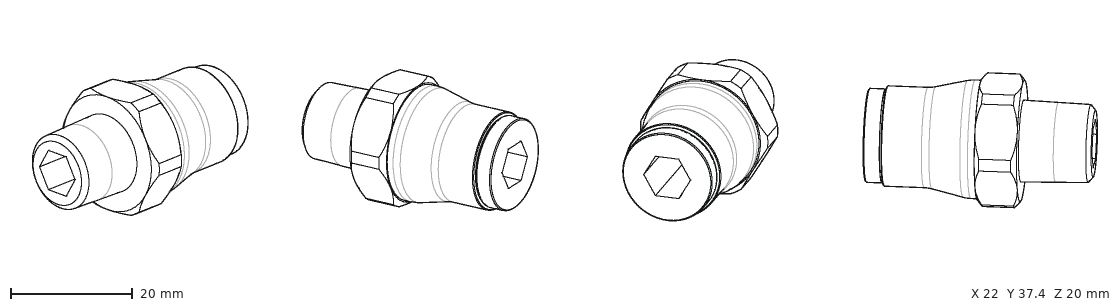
import cadquery as cq
import math

total_length = 37.4

tip_radius = 5.5
tip_chamfer_radius = 6.45
tip_chamfer_length = 0.8
gauge_line = 6.15
gauge_radius = 6.6
stub_root_radius = 6.75

nut_start = 11.85
nut_end = 18.85
nut_across_flats = 20.0
nut_across_corners = 22.0
nut_chamfer_length = 0.85

shoulder_radius = 9.75
shoulder_flat_end = 19.97
blend_length = 1.27
body_radius = 8.25
body_start = 27.7
body_end = 34.4
body_edge_chamfer = 0.15

groove_width = 0.3
groove_radius = 7.55
sleeve_radius = 7.75
sleeve_chamfer = 0.2

socket_across_flats = 7.0


def hexagon_prism(across_flats, start, end):
    """Hexagonal bar along Y with corners on the X axis."""
    corner_diameter = across_flats / math.cos(math.pi / 6)
    return (
        cq.Workplane("XZ", origin=(0, start, 0))
        .polygon(6, corner_diameter)
        .extrude(start - end)
    )


def revolve_about_y(profile):
    return profile.close().revolve(360, (0, 0, 0), (0, 1, 0))


def make_stub():
    return revolve_about_y(
        cq.Workplane("XY")
        .moveTo(0, 0)
        .lineTo(tip_radius, 0)
        .lineTo(tip_chamfer_radius, tip_chamfer_length)
        .lineTo(gauge_radius, gauge_line)
        .lineTo(stub_root_radius, nut_start)
        .lineTo(0, nut_start)
    )


def make_nut():
    """Hexagon with its corners turned down and both ends chamfered."""
    flat_radius = nut_across_flats / 2
    corner_radius = nut_across_corners / 2
    turned_envelope = revolve_about_y(
        cq.Workplane("XY")
        .moveTo(0, nut_start)
        .lineTo(flat_radius, nut_start)
        .lineTo(corner_radius, nut_start + nut_chamfer_length)
        .lineTo(corner_radius, nut_end - nut_chamfer_length)
        .lineTo(flat_radius, nut_end)
        .lineTo(0, nut_end)
    )
    return hexagon_prism(nut_across_flats, nut_start, nut_end).intersect(turned_envelope)


def make_body():
    radius_drop = shoulder_radius - body_radius
    cone_slope = radius_drop / (body_start - shoulder_flat_end - blend_length)
    blend_angle = math.atan(cone_slope)
    blend_drop = blend_length * math.tan(blend_angle / 2)
    cone_start = shoulder_flat_end + blend_length
    cone_end = body_start - blend_length
    sleeve_start = body_end + groove_width
    return revolve_about_y(
        cq.Workplane("XY")
        .moveTo(0, nut_end)
        .lineTo(shoulder_radius, nut_end)
        .lineTo(shoulder_radius, shoulder_flat_end)
        .tangentArcPoint((shoulder_radius - blend_drop, cone_start), relative=False)
        .lineTo(body_radius + blend_drop, cone_end)
        .tangentArcPoint((body_radius, body_start), relative=False)
        .lineTo(body_radius, body_end - body_edge_chamfer)
        .lineTo(body_radius - body_edge_chamfer, body_end)
        .lineTo(groove_radius, body_end)
        .lineTo(groove_radius, sleeve_start)
        .lineTo(sleeve_radius, sleeve_start)
        .lineTo(sleeve_radius, total_length - sleeve_chamfer)
        .lineTo(sleeve_radius - sleeve_chamfer, total_length)
        .lineTo(0, total_length)
    )


socket = hexagon_prism(socket_across_flats, 0, total_length)
result = make_stub().union(make_nut()).union(make_body()).cut(socket)